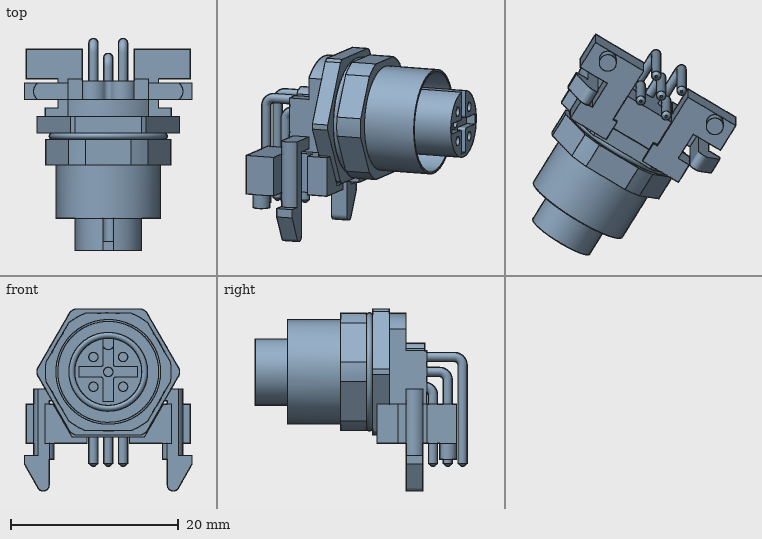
import cadquery as cq
import math


SHELL_FRONT = 3.85
POCKET_FLOOR = 8.8
NUT_FRONT = 10.18
NUT_REAR = 13.25
FLANGE_FRONT = 14.0
FLANGE_REAR = 15.97
PLATE_REAR = 17.97
BOSS_REAR = 20.22
ARM_REAR = 20.45

INSERT_R = 4.0
SHELL_R = 6.25
SHELL_WALL = 0.23
INNER_SEAL_R = 0.35
OUTER_SEAL_R = 7.05

NUT_HALF_FLATS = 7.0
NUT_TRIM_R = 7.5
FLANGE_HALF_FLATS = 7.5
FLANGE_TRIM_R = 8.5

CONTACT_R = 0.55
CONTACT_PITCH = 1.77
SOCKET_DEPTH = 5.05
FIRST_PIN_Y = 21.18
PIN_BEND_R = 1.0
PIN_BOTTOM = -11.27
PIN_TIP_LENGTH = 0.38
PIN_TIP_R = 0.13
PIN_START = PLATE_REAR

CROSS_LENGTH = 7.03
CROSS_WIDTH = 1.25
CROSS_DEPTH = 1.05
CROSS_FILLET = 0.3
KEYWAY_BOTTOM = 2.65
KEYWAY_SIDE_BOTTOM = 2.98

PLATE_R = 7.0
PLATE_HALF_WIDTH = 4.8
PLATE_BOTTOM = -7.75
LOBE_R = 1.65
LOBE_BLEND_R = 0.53
BOSS_HALF_WIDTH = 3.08
ARM_TOP = 2.53

BLOCK_TOP = -3.85
BLOCK_BOTTOM = -8.52
WING_FRONT = 14.5
WING_REAR = 17.0
WING_INNER = 2.53
WING_OUTER = 7.53
NECK_OUTER = 6.0
BLOCK_REAR = 23.98
BLOCK_OUTER = 9.78
FLANGE_CLEARANCE = 0.1

POST_R = 1.0
POST_X = 7.45
POST_BOTTOM = -10.44

CLIP_REAR = 19.96
CLIP_TOP = -2.02
CLIP_ARM_BOTTOM = -3.45
CLIP_INNER = 7.03
CLIP_FLAT_OUTER = 8.4
CLIP_ROUND_OUTER = 8.9
HOOK_TOP = -9.95
HOOK_SPAN = 20.0
HOOK_OUTER = HOOK_SPAN / 2
HOOK_SLOPE_TOP = -10.97
HOOK_SLOPE_FOOT = 8.15
CLIP_BOTTOM = -14.2
HOOK_FILLET = 0.7


def sketch_at(y):
    """Sketch plane facing -Y at depth y; local axes are X and Z, extrude negative to go +Y."""
    return cq.Workplane("XZ", origin=(0, y, 0))


def cylinder(radius, y_front, y_rear):
    return sketch_at(y_front).circle(radius).extrude(y_front - y_rear)


def box(x_min, x_max, y_min, y_max, z_min, z_max):
    size = (x_max - x_min, y_max - y_min, z_max - z_min)
    return cq.Workplane("XY").box(*size, centered=False).translate((x_min, y_min, z_min))


def hexagon(half_flats, y_front, y_rear):
    diameter = 2 * half_flats / math.cos(math.radians(30))
    return sketch_at(y_front).polygon(6, diameter).extrude(y_front - y_rear)


def both_sides(solid):
    return solid.union(solid.mirror("YZ"))


def revolve_profile(profile):
    return profile.close().revolve(360, (0, 0, 0), (0, 1, 0))



def make_shell():
    """Solid core with an open pocket at the front and a raised seal ring on the pocket floor."""
    shell = cylinder(SHELL_R, SHELL_FRONT, FLANGE_REAR)
    shell = shell.cut(cylinder(SHELL_R - SHELL_WALL, SHELL_FRONT, POCKET_FLOOR))
    seal_ring = revolve_profile(
        cq.Workplane("XY")
        .moveTo(INSERT_R, POCKET_FLOOR + INNER_SEAL_R)
        .lineTo(INSERT_R, POCKET_FLOOR)
        .threePointArc(
            (INSERT_R + INNER_SEAL_R, POCKET_FLOOR - INNER_SEAL_R),
            (INSERT_R + 2 * INNER_SEAL_R, POCKET_FLOOR),
        )
        .lineTo(INSERT_R + 2 * INNER_SEAL_R, POCKET_FLOOR + INNER_SEAL_R)
    )
    return shell.union(seal_ring)


def make_trimmed_hexagon(half_flats, trim_r, y_front, y_rear):
    """Hexagonal prism with its corners turned down to trim_r."""
    return hexagon(half_flats, y_front, y_rear).intersect(cylinder(trim_r, y_front, y_rear))


def make_outer_seal():
    """Ring with a half-round rim that fills the gap between the nut and the flange."""
    mid_y = (NUT_REAR + FLANGE_FRONT) / 2
    rim_start = OUTER_SEAL_R - (FLANGE_FRONT - NUT_REAR) / 2
    return revolve_profile(
        cq.Workplane("XY")
        .moveTo(0, NUT_REAR)
        .lineTo(rim_start, NUT_REAR)
        .threePointArc((OUTER_SEAL_R, mid_y), (rim_start, FLANGE_FRONT))
        .lineTo(0, FLANGE_FRONT)
    )



def make_insert():
    insert = cylinder(INSERT_R, 0, POCKET_FLOOR)

    cross = sketch_at(0).rect(CROSS_LENGTH, CROSS_WIDTH).extrude(-CROSS_DEPTH)
    upright = (
        sketch_at(0)
        .center(0, (INSERT_R - CROSS_LENGTH / 2) / 2)
        .rect(CROSS_WIDTH, CROSS_LENGTH / 2 + INSERT_R)
        .extrude(-CROSS_DEPTH)
    )
    inner_corners = cq.selectors.BoxSelector(
        (-CROSS_WIDTH, -0.25, -CROSS_WIDTH), (CROSS_WIDTH, CROSS_DEPTH + 0.25, CROSS_WIDTH)
    )
    cross = cross.union(upright).edges("|Y").edges(inner_corners).fillet(CROSS_FILLET)

    keyway = (
        sketch_at(0)
        .moveTo(-CROSS_WIDTH / 2, INSERT_R)
        .lineTo(-CROSS_WIDTH / 2, KEYWAY_SIDE_BOTTOM)
        .threePointArc((0, KEYWAY_BOTTOM), (CROSS_WIDTH / 2, KEYWAY_SIDE_BOTTOM))
        .lineTo(CROSS_WIDTH / 2, INSERT_R)
        .close()
        .extrude(-POCKET_FLOOR)
    )
    sockets = (
        sketch_at(0)
        .rect(2 * CONTACT_PITCH, 2 * CONTACT_PITCH, forConstruction=True)
        .vertices()
        .circle(CONTACT_R)
        .extrude(-SOCKET_DEPTH)
    )
    center_socket = cylinder(CONTACT_R, 0, SOCKET_DEPTH)
    return insert.cut(cross).cut(keyway).cut(sockets).cut(center_socket)



def make_plate():
    """Round-topped plate with flat sides, carried straight down to its bottom edge."""
    disc = cylinder(PLATE_R, FLANGE_REAR, PLATE_REAR)
    sides = box(-PLATE_HALF_WIDTH, PLATE_HALF_WIDTH, FLANGE_REAR, PLATE_REAR, 0, PLATE_R)
    lower = box(-PLATE_HALF_WIDTH, PLATE_HALF_WIDTH, FLANGE_REAR, PLATE_REAR, PLATE_BOTTOM, 0)
    return disc.intersect(sides).union(lower)


def make_boss():
    """Boss around the upper pins: two lobes joined by a concave blend, cut off at the arms."""
    center_distance = LOBE_R + LOBE_BLEND_R
    blend_z = CONTACT_PITCH + math.sqrt(center_distance**2 - CONTACT_PITCH**2)
    touch_x = CONTACT_PITCH * LOBE_BLEND_R / center_distance
    touch_z = blend_z - (blend_z - CONTACT_PITCH) * LOBE_BLEND_R / center_distance
    lobe_top = CONTACT_PITCH + LOBE_R
    side_x = BOSS_HALF_WIDTH
    side_z = CONTACT_PITCH + math.sqrt(LOBE_R**2 - (side_x - CONTACT_PITCH) ** 2)
    return (
        sketch_at(PLATE_REAR)
        .moveTo(-side_x, PLATE_BOTTOM)
        .lineTo(-side_x, side_z)
        .threePointArc((-CONTACT_PITCH, lobe_top), (-touch_x, touch_z))
        .threePointArc((0, blend_z - LOBE_BLEND_R), (touch_x, touch_z))
        .threePointArc((CONTACT_PITCH, lobe_top), (side_x, side_z))
        .lineTo(side_x, PLATE_BOTTOM)
        .close()
        .extrude(PLATE_REAR - BOSS_REAR)
    )


def make_arm():
    return box(BOSS_HALF_WIDTH, PLATE_HALF_WIDTH, PLATE_REAR, ARM_REAR, BLOCK_BOTTOM, ARM_TOP)



def make_block():
    """Front wing, narrower neck and rear wing; the front wing is relieved around the flange."""
    front_wing = box(WING_INNER, WING_OUTER, WING_FRONT, WING_REAR, BLOCK_BOTTOM, BLOCK_TOP)
    neck = box(BOSS_HALF_WIDTH, NECK_OUTER, WING_REAR, ARM_REAR, BLOCK_BOTTOM, BLOCK_TOP)
    rear_wing = box(BOSS_HALF_WIDTH, BLOCK_OUTER, ARM_REAR, BLOCK_REAR, BLOCK_BOTTOM, BLOCK_TOP)

    relief_corner = (FLANGE_HALF_FLATS + FLANGE_CLEARANCE) / math.cos(math.radians(30))
    relief_foot = relief_corner + PLATE_BOTTOM * math.tan(math.radians(30))
    relief = (
        sketch_at(WING_FRONT)
        .polyline([
            (-relief_corner, 0),
            (relief_corner, 0),
            (relief_foot, PLATE_BOTTOM),
            (-relief_foot, PLATE_BOTTOM),
        ])
        .close()
        .extrude(WING_FRONT - FLANGE_REAR)
    )
    return front_wing.cut(relief).union(neck).union(rear_wing)


def make_post():
    return (
        cq.Workplane("XY", origin=(POST_X, BLOCK_REAR - POST_R, POST_BOTTOM))
        .circle(POST_R)
        .extrude(BLOCK_TOP - POST_BOTTOM)
    )


def make_clip():
    """Horizontal arm, leg with a rounded outer face, and a hook at the foot."""
    arm = box(PLATE_HALF_WIDTH, CLIP_INNER, PLATE_REAR, CLIP_REAR, CLIP_ARM_BOTTOM, CLIP_TOP)
    leg = (
        cq.Workplane("XY", origin=(0, 0, HOOK_TOP))
        .moveTo(CLIP_INNER, PLATE_REAR)
        .lineTo(CLIP_FLAT_OUTER, PLATE_REAR)
        .threePointArc(
            (CLIP_ROUND_OUTER, (PLATE_REAR + CLIP_REAR) / 2), (CLIP_FLAT_OUTER, CLIP_REAR)
        )
        .lineTo(CLIP_INNER, CLIP_REAR)
        .close()
        .extrude(CLIP_TOP - HOOK_TOP)
    )
    hook = (
        sketch_at(PLATE_REAR)
        .polyline([
            (CLIP_INNER, HOOK_TOP),
            (HOOK_OUTER, HOOK_TOP),
            (HOOK_OUTER, HOOK_SLOPE_TOP),
            (HOOK_SLOPE_FOOT, CLIP_BOTTOM),
            (CLIP_INNER, CLIP_BOTTOM),
        ])
        .close()
        .extrude(PLATE_REAR - CLIP_REAR)
        .faces("<Z")
        .edges("|Y")
        .fillet(HOOK_FILLET)
    )
    return arm.union(leg).union(hook)



def make_pin(x, z, pin_y):
    """Pin that leaves the body at height z, bends down at depth pin_y and ends in a cone."""
    bend_start = pin_y - PIN_BEND_R
    inset = PIN_BEND_R * (1 - math.sqrt(0.5))
    path = (
        cq.Workplane("YZ", origin=(x, 0, 0))
        .moveTo(PIN_START, z)
        .lineTo(bend_start, z)
        .threePointArc((pin_y - inset, z - inset), (pin_y, z - PIN_BEND_R))
        .lineTo(pin_y, PIN_BOTTOM + PIN_TIP_LENGTH)
    )
    pin = cq.Workplane("XZ", origin=(x, PIN_START, z)).circle(CONTACT_R).sweep(path)
    tip = cq.Solid.makeCone(
        PIN_TIP_R,
        CONTACT_R,
        PIN_TIP_LENGTH,
        pnt=cq.Vector(x, pin_y, PIN_BOTTOM),
        dir=cq.Vector(0, 0, 1),
    )
    return pin.union(cq.Workplane(tip))



nut = make_trimmed_hexagon(NUT_HALF_FLATS, NUT_TRIM_R, NUT_FRONT, NUT_REAR)
flange = make_trimmed_hexagon(FLANGE_HALF_FLATS, FLANGE_TRIM_R, FLANGE_FRONT, FLANGE_REAR)

result = make_shell()
for piece in (nut, make_outer_seal(), flange, make_insert(), make_plate(), make_boss()):
    result = result.union(piece)

for piece in (make_arm(), make_block(), make_post(), make_clip()):
    result = result.union(both_sides(piece))

for row, pin_columns in enumerate([(-1, 1), (0,), (-1, 1)]):
    for column in pin_columns:
        pin_x = column * CONTACT_PITCH
        pin_z = (row - 1) * CONTACT_PITCH
        pin_y = FIRST_PIN_Y + row * CONTACT_PITCH
        result = result.union(make_pin(pin_x, pin_z, pin_y))